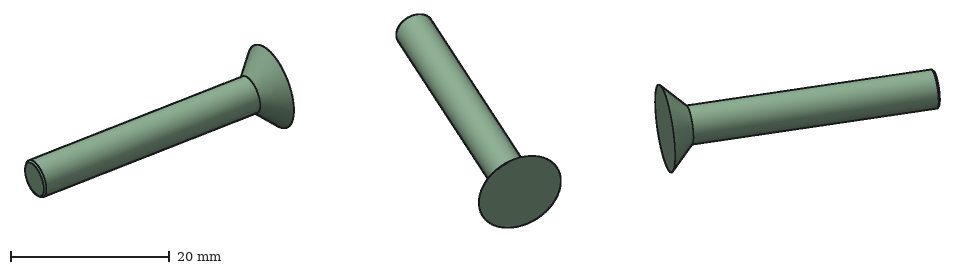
import cadquery as cq

length = 35.0
head_diameter = 11.2
shank_diameter = 5.0
tip_chamfer = 0.25

head_height = (head_diameter - shank_diameter) / 2
shank_length = length - head_height

shank = (
    cq.Workplane("XZ")
    .circle(shank_diameter / 2)
    .extrude(-shank_length)
    .faces("<Y")
    .chamfer(tip_chamfer)
)

head = cq.Workplane(
    cq.Solid.makeCone(
        shank_diameter / 2,
        head_diameter / 2,
        head_height,
        pnt=cq.Vector(0, shank_length, 0),
        dir=cq.Vector(0, 1, 0),
    )
)

result = shank.union(head)